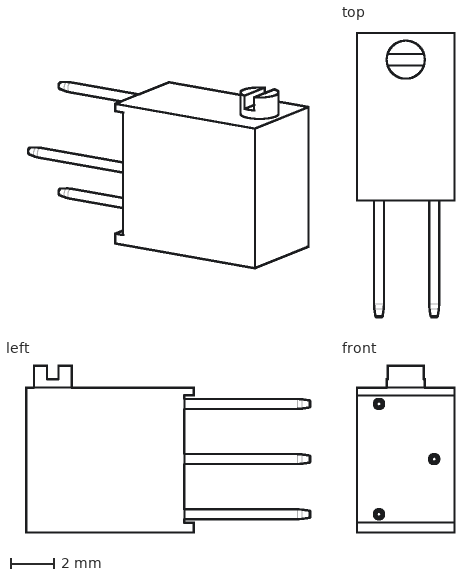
import cadquery as cq

HOUSING_WIDTH = 4.5
HOUSING_HEIGHT = 6.7
HOUSING_DEPTH = 7.75
OVERHANG = 0.43
TOP_LIP = 0.35
BOTTOM_LIP = 0.47

SCREW_DIAMETER = 1.76
SCREW_HEIGHT = 1.02
SCREW_BACK_OFFSET = 1.23
SLOT_WIDTH = 0.53
SLOT_DEPTH = 0.63

OVERALL_LENGTH = 13.13
PIN_RADIUS = 0.24
COLLAR_LENGTH = 0.21
COLLAR_END_RADIUS = 0.22
TIP_LENGTH = 0.4
TIP_END_RADIUS = 0.17
TIP_CHAMFER = 0.05
PIN_PITCH = 2.55
PIN_LEFT_X = -1.23
LOWEST_PIN_Z = 0.85

PIN_LENGTH = OVERALL_LENGTH - HOUSING_DEPTH + OVERHANG
PIN_RIGHT_X = PIN_LEFT_X + PIN_PITCH
PIN_PLACES = [
    (PIN_LEFT_X, LOWEST_PIN_Z),
    (PIN_RIGHT_X, LOWEST_PIN_Z + PIN_PITCH),
    (PIN_LEFT_X, LOWEST_PIN_Z + 2 * PIN_PITCH),
]


def make_housing():
    block = cq.Workplane("XY").box(
        HOUSING_WIDTH, HOUSING_DEPTH, HOUSING_HEIGHT, centered=(True, False, False)
    )
    recess_height = HOUSING_HEIGHT - TOP_LIP - BOTTOM_LIP
    front_recess = (
        cq.Workplane("XY")
        .box(HOUSING_WIDTH, OVERHANG, recess_height, centered=(True, False, False))
        .translate((0, 0, BOTTOM_LIP))
    )
    return block.cut(front_recess)


def make_screw():
    head = cq.Workplane("XY").circle(SCREW_DIAMETER / 2).extrude(SCREW_HEIGHT)
    slot = (
        cq.Workplane("XY")
        .box(SCREW_DIAMETER, SLOT_WIDTH, SLOT_DEPTH, centered=(True, True, False))
        .translate((0, 0, SCREW_HEIGHT - SLOT_DEPTH))
    )
    return head.cut(slot).translate((0, HOUSING_DEPTH - SCREW_BACK_OFFSET, HOUSING_HEIGHT))


def make_pin(x, z):
    """Revolve one pin from its root on the recessed front face to its chamfered tip."""
    root_y = OVERHANG
    end_y = root_y - PIN_LENGTH
    collar_end_y = end_y + TIP_LENGTH
    shaft_end_y = collar_end_y + COLLAR_LENGTH
    profile = [
        (0, root_y),
        (PIN_RADIUS, root_y),
        (PIN_RADIUS, shaft_end_y),
        (COLLAR_END_RADIUS, collar_end_y),
        (TIP_END_RADIUS, end_y + TIP_CHAMFER),
        (TIP_END_RADIUS - TIP_CHAMFER, end_y),
        (0, end_y),
    ]
    pin = cq.Workplane("XY").polyline(profile).close().revolve(360, (0, 0, 0), (0, 1, 0))
    return pin.translate((x, 0, z))


housing = make_housing()
screw = make_screw()
pins = [make_pin(x, z) for x, z in PIN_PLACES]

result = cq.Compound.makeCompound([housing.val(), screw.val(), *[pin.val() for pin in pins]])